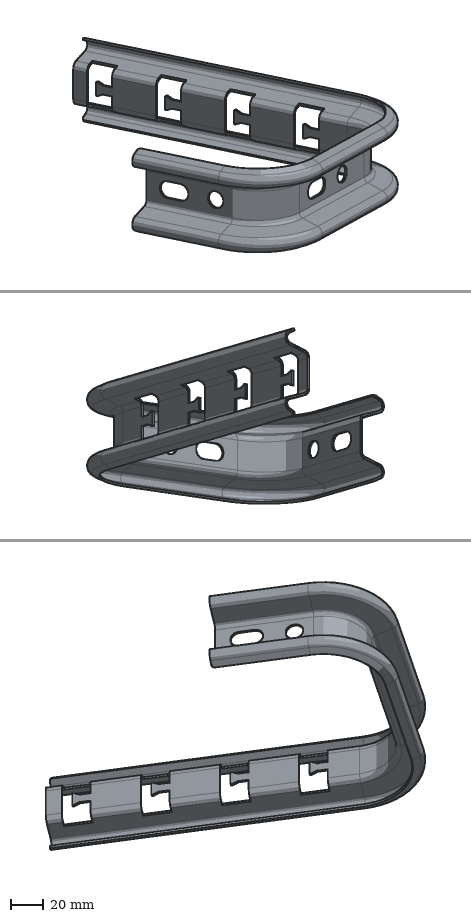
import cadquery as cq
import math

LENGTH = 244.5
WIDTH = 170.0
HEIGHT = 55.0

THICKNESS = 1.5
DEPTH = 18.0
WEB_HALF = 9.5
BEND_OUTER = 5.0
BEND_INNER = BEND_OUTER - THICKNESS
RIM_HEIGHT = 20.8
LIP_ANGLE = 26.0
LIP_CORNER = 2.2

CORNER_RADIUS = 46.7
SHORT_ARM_START = 135.7
BEND_X = LENGTH - CORNER_RADIUS
LOW_BEND_Y = CORNER_RADIUS
HIGH_BEND_Y = WIDTH - CORNER_RADIUS

SLOT_COUNT = 4
SLOT_START = 10.0
SLOT_PITCH = 50.0
SLOT_WIDTH = 18.0
SLOT_BACK_DEPTH = 11.5
TONGUE_LENGTH = 11.5
TONGUE_TAPER = 5.0
TONGUE_TIP_HALF = 5.1
TONGUE_NECK_HALF = 3.0
TONGUE_ROUND = 0.7

HOLE_DIAMETER = 11.0
OBLONG_LENGTH = 20.5
HOLE_SPACING = 30.0
SHORT_ARM_HOLE_X = 185.8
BACK_HOLE_Y = 97.5

web_bend_centre = (DEPTH - BEND_OUTER, WEB_HALF)
rim_centre = (BEND_OUTER, RIM_HEIGHT)
run = web_bend_centre[0] - rim_centre[0]
rise = rim_centre[1] - web_bend_centre[1]
flange_angle = math.degrees(
    math.atan2(rise, run) - math.asin((BEND_OUTER + BEND_INNER) / math.hypot(run, rise))
)


def polar(centre, radius, angle):
    """Point on a circle; the angle in degrees runs from the depth axis towards height."""
    turn = math.radians(angle)
    return (centre[0] + radius * math.cos(turn), centre[1] + radius * math.sin(turn))


def lip_end():
    """Outer corner of the lip, where it reaches the full half height."""
    start = polar(rim_centre, BEND_OUTER, 90 + LIP_ANGLE)
    climb = HEIGHT / 2 - start[1]
    return (start[0] + climb / math.tan(math.radians(LIP_ANGLE)), HEIGHT / 2)


def side_points(web_radius, rim_radius):
    """One face of the upper half section, from the flat web to the end of the lip."""
    normal = 90 - flange_angle
    inset = BEND_OUTER - rim_radius
    return [
        polar(web_bend_centre, web_radius, 0),
        polar(web_bend_centre, web_radius, normal / 2),
        polar(web_bend_centre, web_radius, normal),
        polar(rim_centre, rim_radius, normal + 180),
        polar(rim_centre, rim_radius, 180),
        polar(rim_centre, rim_radius, 90 + LIP_ANGLE),
        polar(lip_end(), inset, LIP_ANGLE - 90),
    ]


def section(plane):
    """Closed hat section, with local x along the depth and local y along Z."""
    front = side_points(BEND_OUTER, BEND_INNER)
    back = side_points(BEND_INNER, BEND_OUTER)

    def flip(points):
        return [(x, -y) for x, y in points]

    def climb(outline, p):
        outline = outline.lineTo(*p[0]).threePointArc(p[1], p[2])
        return outline.lineTo(*p[3]).threePointArc(p[4], p[5]).lineTo(*p[6])

    def descend(outline, p):
        outline = outline.lineTo(*p[6]).lineTo(*p[5]).threePointArc(p[4], p[3])
        return outline.lineTo(*p[2]).threePointArc(p[1], p[0])

    outline = climb(cq.Workplane(plane).moveTo(DEPTH, 0), front)
    outline = descend(outline, back)
    outline = climb(outline, flip(back))
    return descend(outline, flip(front)).close()


def rail_plane(origin, inward):
    """Section plane at a rim point; local x runs inward and local y runs along Z."""
    return cq.Plane(origin, inward, cq.Vector(*inward).cross(cq.Vector(0, 0, 1)))


def straight(origin, inward, length):
    """Straight stretch of rail; the inward direction runs from the rim to the web."""
    return section(rail_plane(origin, inward)).extrude(length)


def plan_bend(origin, inward):
    """Quarter bend about the vertical line one corner radius inward of the rim."""
    return section(rail_plane(origin, inward)).revolve(90, (CORNER_RADIUS, 0), (CORNER_RADIUS, 1))


def round_lip_corners(arm, end_x, rim_y, inward):
    """Round the free corner of both lips at one end of an arm."""
    front_end = side_points(BEND_OUTER, BEND_INNER)[-1]
    back_end = lip_end()
    depth = (front_end[0] + back_end[0]) / 2
    height = (front_end[1] + back_end[1]) / 2
    for z in (height, -height):
        corner = cq.selectors.NearestToPointSelector((end_x, rim_y + inward * depth, z))
        arm = arm.edges(corner).fillet(LIP_CORNER)
    return arm


def rail():
    """The complete U-shaped rail, without openings."""
    long_arm = straight((BEND_X, WIDTH, 0), (0, -1, 0), BEND_X)
    long_arm = round_lip_corners(long_arm, 0, WIDTH, -1)
    short_arm = straight((SHORT_ARM_START, 0, 0), (0, 1, 0), BEND_X - SHORT_ARM_START)
    short_arm = round_lip_corners(short_arm, SHORT_ARM_START, 0, 1)
    back = straight((LENGTH, LOW_BEND_Y, 0), (-1, 0, 0), HIGH_BEND_Y - LOW_BEND_Y)
    low_bend = plan_bend((BEND_X, 0, 0), (0, 1, 0))
    high_bend = plan_bend((LENGTH, HIGH_BEND_Y, 0), (-1, 0, 0))
    return long_arm.union(high_bend).union(back).union(low_bend).union(short_arm)


def hanger_slot(start_x):
    """Cutter for one slot: a block across the section, leaving a tongue in the web."""
    end_x = start_x + SLOT_WIDTH
    web_y = WIDTH - DEPTH
    block = cq.Workplane("XY").box(
        SLOT_WIDTH, DEPTH - SLOT_BACK_DEPTH, HEIGHT, centered=(False, False, True)
    )
    block = block.translate((start_x, web_y, 0))
    tip_x = end_x - TONGUE_LENGTH
    neck_x = tip_x + TONGUE_TAPER
    tongue = (
        cq.Workplane("XZ", origin=(0, web_y, 0))
        .moveTo(tip_x, -TONGUE_TIP_HALF)
        .lineTo(neck_x, -TONGUE_NECK_HALF)
        .lineTo(end_x, -TONGUE_NECK_HALF)
        .lineTo(end_x, TONGUE_NECK_HALF)
        .lineTo(neck_x, TONGUE_NECK_HALF)
        .lineTo(tip_x, TONGUE_TIP_HALF)
        .close()
        .extrude(-THICKNESS)
        .edges("|Y and <X")
        .fillet(TONGUE_ROUND)
    )
    return block.cut(tongue)


def fixing_holes(plane):
    """Cutter through the web: a round hole at the plane's origin and an oblong one on its -x side."""
    round_hole = cq.Workplane(plane).circle(HOLE_DIAMETER / 2).extrude(-DEPTH)
    oblong = cq.Workplane(plane).center(-HOLE_SPACING, 0).slot2D(OBLONG_LENGTH, HOLE_DIAMETER)
    return round_hole.union(oblong.extrude(-DEPTH))


result = rail()
for index in range(SLOT_COUNT):
    result = result.cut(hanger_slot(SLOT_START + index * SLOT_PITCH))

short_arm_holes = cq.Plane((SHORT_ARM_HOLE_X, DEPTH, 0), (1, 0, 0), (0, 1, 0))
back_holes = cq.Plane((LENGTH - DEPTH, BACK_HOLE_Y, 0), (0, 1, 0), (-1, 0, 0))
result = result.cut(fixing_holes(short_arm_holes))
result = result.cut(fixing_holes(back_holes))